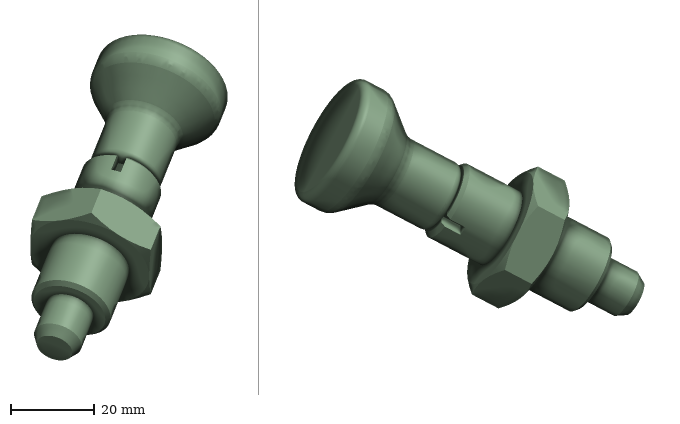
import cadquery as cq
import math

overall_length = 87.0
tip_y = -overall_length / 2
knob_end_y = overall_length / 2

pin_diameter = 12.0
pin_length = 12.0
tip_chamfer_length = 2.6
tip_chamfer_angle = 30.0

body_diameter = 20.0
body_chamfer = 1.0
body_length = 42.0
body_start_y = tip_y + pin_length
body_end_y = body_start_y + body_length

nut_across_flats = 30.0
nut_thickness = 10.3
nut_start_y = -15.7
nut_chamfer_angle = 30.0

knob_diameter = 33.0
neck_diameter = 18.0
rim_length = 8.1
cone_length = 9.2
knob_end_fillet = 1.9
cone_fillet = 4.0
neck_fillet = 1.9

notch_width = 2.4
notch_depth = 5.4


def revolve_about_y(profile):
    return profile.close().revolve(360, (0, 0, 0), (0, 1, 0))


def make_pin():
    radius = pin_diameter / 2
    tip_inset = tip_chamfer_length * math.tan(math.radians(tip_chamfer_angle))
    profile = (
        cq.Workplane("XY")
        .moveTo(0, tip_y)
        .lineTo(radius - tip_inset, tip_y)
        .lineTo(radius, tip_y + tip_chamfer_length)
        .lineTo(radius, body_end_y)
        .lineTo(0, body_end_y)
    )
    return revolve_about_y(profile)


def make_body():
    cylinder = (
        cq.Workplane("XZ", origin=(0, body_start_y, 0))
        .circle(body_diameter / 2)
        .extrude(-body_length)
    )
    body = cylinder.faces("<Y or >Y").chamfer(body_chamfer)
    notch = cq.Workplane("XY").box(notch_width, 2 * notch_depth, body_diameter)
    return body.cut(notch.translate((0, body_end_y, 0)))


def make_nut():
    across_corners = nut_across_flats / math.cos(math.radians(30))
    corner_radius = across_corners / 2
    face_radius = nut_across_flats / 2
    chamfer_length = (corner_radius - face_radius) * math.tan(math.radians(nut_chamfer_angle))
    nut_end_y = nut_start_y + nut_thickness
    hexagon = (
        cq.Workplane("XZ", origin=(0, nut_start_y, 0))
        .transformed(rotate=(0, 0, 90))
        .polygon(6, across_corners)
        .extrude(-nut_thickness)
    )
    blank = revolve_about_y(
        cq.Workplane("XY")
        .moveTo(0, nut_start_y)
        .lineTo(face_radius, nut_start_y)
        .lineTo(corner_radius, nut_start_y + chamfer_length)
        .lineTo(corner_radius, nut_end_y - chamfer_length)
        .lineTo(face_radius, nut_end_y)
        .lineTo(0, nut_end_y)
    )
    return hexagon.intersect(blank)


def make_knob():
    knob_radius = knob_diameter / 2
    neck_radius = neck_diameter / 2
    rim_y = knob_end_y - rim_length
    neck_y = rim_y - cone_length
    knob = revolve_about_y(
        cq.Workplane("XY")
        .moveTo(0, body_end_y)
        .lineTo(neck_radius, body_end_y)
        .lineTo(neck_radius, neck_y)
        .lineTo(knob_radius, rim_y)
        .lineTo(knob_radius, knob_end_y)
        .lineTo(0, knob_end_y)
    )
    knob = knob.faces(">Y").edges().fillet(knob_end_fillet)
    knob = knob.faces("<Y").edges().fillet(neck_fillet)
    return knob.faces("%CONE").edges("%CIRCLE").fillet(cone_fillet)


result = make_body().union(make_pin()).union(make_nut()).union(make_knob())